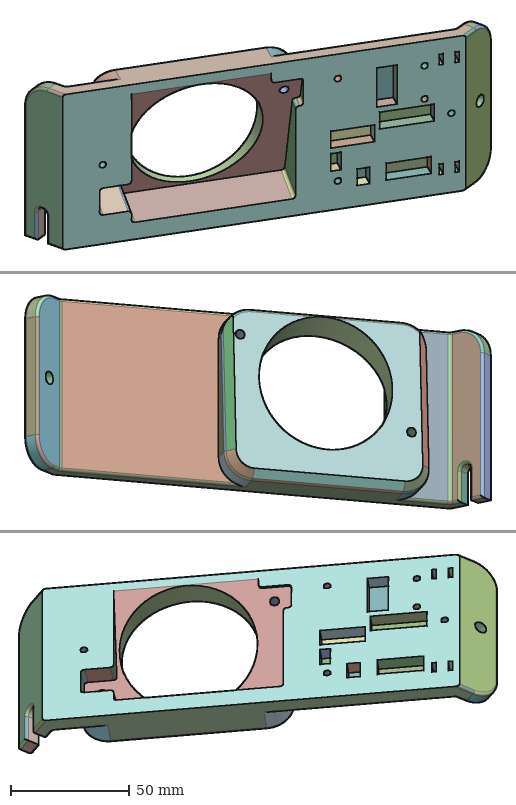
import cadquery as cq
import math


height = 76.0
thickness = 7.0
plate_length = 177.5
plate_angle = 57.8
flange_tilt = 6.0
low_flange_length = 20.2
high_flange_length = 19.2
flange_corner_radius = 12.0
bend_radius = 2.0
edge_radius = 1.2

slot_width = 5.3
slot_distance = 11.0
slot_centre_z = -24.1
mount_hole_diameter = 5.5
mount_hole_distance = 10.5
mid_hole_z = 0.9

boss_start = 15.0
boss_end = 105.4
boss_corner_radius = 12.0
boss_bottom_height = 20.5
boss_top_height = 14.7
boss_chamfer = 4.1
boss_side_radius = 2.0

seat_x = 61.0
seat_depth = 8.2
seat_z = 4.8
seat_tilt = 16.0
fan_hole_diameter = 58.7
seat_half_size = 30.8
seat_side_reach = 41.4
ear_reach = 44.8
ear_offset = 18.8
ear_half_height = 6.3
seat_corner_radius = 1.5
fan_screw_x = 37.3
fan_screw_z = 18.5
fan_screw_diameter = 4.0

recess_depth = 5.8
pilot_diameter = 2.9
pilot_points = [
    (17.6, mid_hole_z),
    (171.1, mid_hole_z),
    (121.1, 26.0),
    (159.3, 26.0),
    (159.3, 9.8),
    (121.1, -24.1),
]
recesses = [
    (138.2, 9.2, 8.9, 19.2),
    (139.5, -1.7, 24.1, 8.2),
    (118.0, -7.5, 19.2, 8.2),
    (118.0, -18.8, 4.5, 8.5),
    (129.5, -27.7, 5.6, 8.0),
    (142.3, -27.2, 19.8, 8.2),
]
tie_slot_width = 1.9
tie_slot_height = 5.1
tie_slot_lefts = (165.6, 172.6)
tie_slot_bottoms = (25.3, -28.4)

half_height = height / 2
reach = 2 * height


def direction(angle):
    return cq.Vector(math.cos(math.radians(angle)), math.sin(math.radians(angle)), 0)


low_along = direction(180 + flange_tilt - plate_angle)
high_along = direction(90 + flange_tilt - plate_angle)
low_bend = cq.Vector(0, 0, 0)
high_bend = cq.Vector(plate_length, 0, 0)
plate_back = cq.Vector(0, thickness, 0)


def inner_bend(bend, along, side):
    """Corner where the plate's back meets a flange; side is the way along X to mid-plate."""
    turn = math.acos(-side * along.x)
    return bend + plate_back + cq.Vector(side * thickness * math.tan(turn / 2), 0, 0)


def bent_plate():
    low_end = low_bend + low_along * low_flange_length
    high_end = high_bend + high_along * high_flange_length
    outline = [
        low_end,
        low_bend,
        high_bend,
        high_end,
        high_end + low_along * thickness,
        inner_bend(high_bend, high_along, -1),
        inner_bend(low_bend, low_along, 1),
        low_end + high_along * thickness,
    ]
    plate = cq.Workplane("XY").polyline([point.toTuple()[:2] for point in outline]).close()
    plate = plate.extrude(half_height, both=True)
    inner_edges = plate.edges("|Z").edges(cq.selectors.BoxSelector((1.7, 1.7, -1.7), (plate_length - 1.7, 8.5, 1.7)))
    return inner_edges.fillet(bend_radius)


def upright_plane(origin, normal):
    """Work plane on an upright face, with its own Y up."""
    across = cq.Vector(0, 0, 1).cross(normal)
    return cq.Workplane(cq.Plane(origin.toTuple(), across.toTuple(), normal.toTuple()))


def cut_slot(plate):
    """Slot in the low flange, round at the top and open at the bottom."""
    face = upright_plane(low_bend + low_along * slot_distance, high_along).center(0, slot_centre_z)
    slot = face.circle(slot_width / 2).extrude(reach, both=True)
    return plate.cut(slot.union(face.center(0, -reach / 2).rect(slot_width, reach).extrude(reach, both=True)))


def cut_mount_hole(plate):
    face = upright_plane(high_bend + high_along * mount_hole_distance, low_along).center(0, mid_hole_z)
    return plate.cut(face.circle(mount_hole_diameter / 2).extrude(reach, both=True))


def round_flange_corners(plate):
    low_end = low_bend + low_along * low_flange_length
    high_end = high_bend + high_along * high_flange_length
    middle = (low_end + high_along * (thickness / 2), high_end + low_along * (thickness / 2))
    corners = [cq.Vector(point.x, point.y, half_height) for point in middle]
    corners.append(cq.Vector(middle[1].x, middle[1].y, -half_height))
    edges = [edge for edge in plate.edges().vals() if min((edge.Center() - c).Length for c in corners) < 0.02]
    return plate.newObject(edges).fillet(flange_corner_radius)


def edges_on_plane(solid, point, normal):
    """Edges of the solid that lie in a plane, without the full-height lines at the bends."""
    found = []
    for edge in solid.edges().vals():
        spots = [edge.positionAt(part) for part in (0, 0.5, 1)]
        flat = all(abs((spot - point).dot(normal)) < 0.0002 for spot in spots)
        if flat and edge.Length() < height - 0.02:
            found.append(edge)
    return found


def round_rims(plate):
    """Round the rims of the flanges on both sides and of the plate on its back only."""
    rims = edges_on_plane(plate, plate_back, plate_back.normalized())
    for bend, along, back in ((low_bend, low_along, high_along), (high_bend, high_along, low_along)):
        rims += edges_on_plane(plate, bend, back)
        rims += edges_on_plane(plate, bend + back * thickness, back)
    return plate.newObject(rims).fillet(edge_radius)


def boss():
    """Rounded block with a sloping outer face, chamfered along its sides and bottom."""
    root = thickness / 2
    slope = (boss_top_height - boss_bottom_height) / height
    over_top = half_height + 3 * boss_chamfer
    side = [
        (root, -half_height),
        (boss_bottom_height, -half_height),
        (boss_bottom_height + slope * (over_top + half_height), over_top),
        (root, over_top),
    ]
    width = boss_end - boss_start
    block = cq.Workplane("YZ", origin=(boss_start, 0, 0)).polyline(side).close().extrude(width)
    block = block.edges("|Y and <Z").fillet(boss_corner_radius)
    outer = block.faces(">Y").edges("not >Z")
    block = outer.chamfer(boss_chamfer)
    block = block.faces("<X or >X").edges(">Y").fillet(boss_side_radius)
    outline = cq.Workplane("XZ").center((boss_start + boss_end) / 2, 0).rect(width, height)
    outline = outline.extrude(-reach).edges("|Y").fillet(boss_corner_radius)
    block = block.intersect(outline)
    return block.faces(">Z").edges(">Y").fillet(edge_radius)


def fan_seat():
    """Tilted pocket with an ear at two opposite corners, the fan opening and two screw holes."""
    tilt = math.radians(seat_tilt)
    plane = cq.Plane((seat_x, seat_depth, seat_z), (1, 0, 0), (0, -math.cos(tilt), -math.sin(tilt)))
    floor = cq.Workplane(plane)
    size = 2 * seat_half_size
    ear_low = ear_offset - ear_half_height
    side_width = seat_side_reach - seat_half_size
    body = floor.rect(size, size).extrude(reach)
    side = floor.center((seat_half_size + seat_side_reach) / 2, (ear_low - seat_half_size) / 2)
    body = body.union(side.rect(side_width, ear_low + seat_half_size).extrude(reach))
    for end in (-1, 1):
        ear = floor.center(end * ear_reach / 2, end * ear_offset).rect(ear_reach, 2 * ear_half_height)
        body = body.union(ear.extrude(reach))
    body = body.edges(cq.selectors.ParallelDirSelector(plane.zDir)).fillet(seat_corner_radius)
    fan_hole = floor.circle(fan_hole_diameter / 2).extrude(reach, both=True)
    screws = floor.pushPoints([(fan_screw_x, fan_screw_z), (-fan_screw_x, -fan_screw_z)])
    screws = screws.circle(fan_screw_diameter / 2).extrude(reach, both=True)
    return body.union(fan_hole).union(screws)


def front_recesses():
    front = cq.Workplane("XZ")
    cuts = front.pushPoints(pilot_points).circle(pilot_diameter / 2).extrude(-recess_depth)
    tie_slots = [(x, z, tie_slot_width, tie_slot_height) for x in tie_slot_lefts for z in tie_slot_bottoms]
    for left, bottom, width, tall in recesses + tie_slots:
        recess = front.center(left + width / 2, bottom + tall / 2).rect(width, tall)
        cuts = cuts.union(recess.extrude(-recess_depth))
    return cuts


part = cut_mount_hole(round_rims(cut_slot(round_flange_corners(bent_plate()))))
part = part.union(boss()).cut(fan_seat()).cut(front_recesses())
result = part.rotate((0, 0, 0), (0, 0, 1), plate_angle)